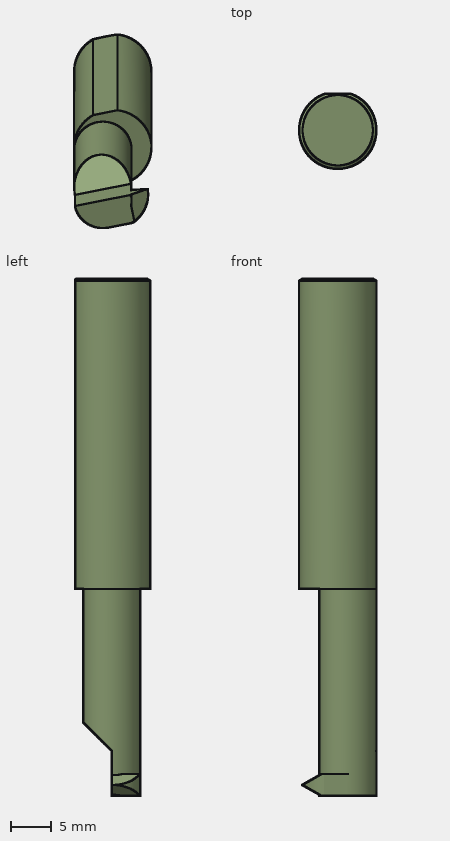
import cadquery as cq
import math

total_length = 63.5
shank_diameter = 9.5
shank_bottom = 25.4
flat_y = 4.5
chamfer_width = 0.45
chamfer_height = 0.25
neck_diameter = 7.05
relief_bottom = 5.5
relief_top = 9.0
head_height = 2.65
tip_x = -4.4
shoulder_x = -2.05
clearance_edge_x = -1.65

shank_radius = shank_diameter / 2
neck_radius = neck_diameter / 2
neck_x = shank_radius - neck_radius


def make_shank():
    """Round shank with a chamfered top and a flat on its +Y side."""
    shank = (
        cq.Workplane("XY", origin=(0, 0, shank_bottom))
        .circle(shank_radius)
        .extrude(total_length - shank_bottom)
        .faces(">Z")
        .edges()
        .chamfer(chamfer_height, chamfer_width)
    )
    flat_cutter = cq.Workplane("XY").box(
        shank_diameter, shank_diameter, total_length, centered=(True, False, False)
    )
    return shank.cut(flat_cutter.translate((0, flat_y, 0)))


def make_neck():
    """Offset round neck, cut back to half at the bottom with a sloped run-out."""
    neck = cq.Workplane("XY").center(neck_x, 0).circle(neck_radius).extrude(shank_bottom)
    relief = (
        cq.Workplane("YZ")
        .polyline([(0, 0), (neck_radius, 0), (neck_radius, relief_top), (0, relief_bottom)])
        .close()
        .extrude(shank_diameter, both=True)
    )
    return neck.cut(relief)


def make_cutting_head():
    """Pointed cutting tooth with a rounded clearance face below its rake face at Y = 0."""
    tooth_depth = clearance_edge_x - tip_x
    arc_radius = (tooth_depth**2 + neck_radius**2) / (2 * tooth_depth)
    arc_center_x = tip_x + arc_radius
    half_angle = math.atan2(neck_radius, arc_center_x - clearance_edge_x) / 2
    arc_middle = (
        arc_center_x - arc_radius * math.cos(half_angle),
        -arc_radius * math.sin(half_angle),
    )
    plan = (
        cq.Workplane("XY")
        .moveTo(neck_x, 0)
        .lineTo(tip_x, 0)
        .threePointArc(arc_middle, (clearance_edge_x, -neck_radius))
        .lineTo(neck_x, -neck_radius)
        .close()
        .extrude(head_height)
    )
    profile = (
        cq.Workplane("XZ")
        .polyline([
            (tip_x, head_height / 2),
            (shoulder_x, 0),
            (neck_x, 0),
            (neck_x, head_height),
            (shoulder_x, head_height),
        ])
        .close()
        .extrude(neck_radius)
    )
    return plan.intersect(profile)


result = make_shank().union(make_neck()).union(make_cutting_head())